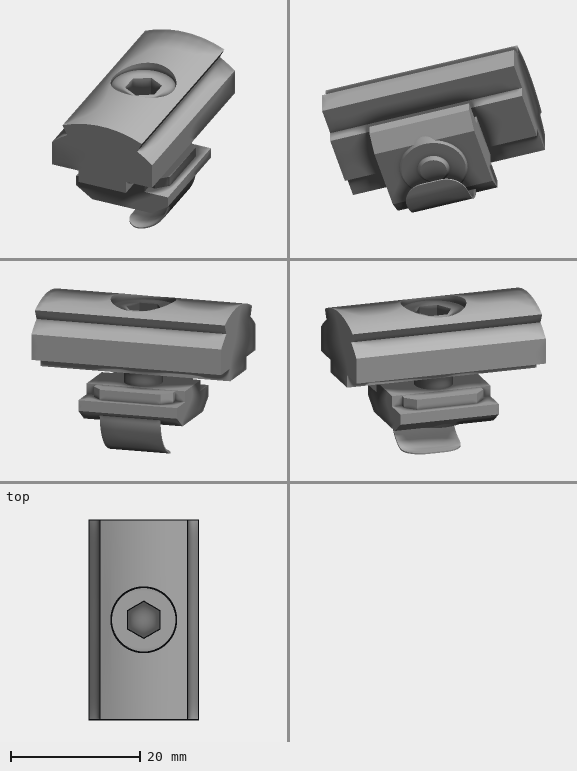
import cadquery as cq
import math

CLAMP_LENGTH = 31.0
CLAMP_WIDTH = 17.0
CLAMP_TOP_Z = 24.18
CROWN_RADIUS = 16.25
DOVETAIL_TOP_HALF = 6.75
NECK_HALF = 5.95
NECK_Z = 21.15
SHOULDER_RADIUS = 14.4
SHOULDER_Z = 19.28
CLAMP_BASE_Z = 15.2
TONGUE_WIDTH = 8.05
TONGUE_BASE_Z = 13.15

HEAD_DIAMETER = 10.0
HEAD_BORE_DIAMETER = 10.2
HEAD_TOP_Z = 22.85
HEAD_HEIGHT = 6.0
SHANK_DIAMETER = 6.0
SHANK_HOLE_DIAMETER = 6.2
TIP_DIAMETER = 5.0
TIP_CHAMFER = 0.43
TIP_Z = 4.77
HEX_ACROSS_FLATS = 5.0
HEX_DEPTH = 4.03

NUT_LENGTH = 16.12
NUT_WIDTH = 15.62
NUT_TOP_Z = 10.9
NUT_CORE_WIDTH = 7.63
FLANGE_TOP_Z = 9.18
FLANGE_EDGE_Z = 7.47
NUT_BASE_Z = 5.6
NUT_BASE_WIDTH = 10.1
COLLAR_BASE_Z = 5.3
COLLAR_BASE_DIAMETER = 10.0
COLLAR_HEIGHT = 1.25

BASE_SPAN = 12.95
BASE_CHAMFER = 1.55
BASE_BOTTOM_Z = FLANGE_EDGE_Z
BAR_TOP_Z = 10.82
LEAF_WIDTH = BASE_SPAN - 2 * BASE_CHAMFER
LEAF_THICKNESS = 0.22
LEAF_INNER_RADIUS = BASE_SPAN / 2
LEAF_OUTER_RADIUS = LEAF_INNER_RADIUS + LEAF_THICKNESS
LEAF_END_LENGTH = 1.4
LEAF_CORNER_RADIUS = 3.4


def cylinder(diameter, bottom, top):
    """Upright cylinder on the screw axis."""
    return cq.Workplane("XY").workplane(offset=bottom).circle(diameter / 2).extrude(top - bottom)


def arc_height(x, radius, centre_z):
    """Height of an arc centred on the mid plane, at distance x from that plane."""
    return centre_z + math.sqrt(radius**2 - x**2)


def make_clamp():
    half_width = CLAMP_WIDTH / 2
    half_tongue = TONGUE_WIDTH / 2
    crown_centre_z = CLAMP_TOP_Z - CROWN_RADIUS
    dovetail_z = arc_height(DOVETAIL_TOP_HALF, CROWN_RADIUS, crown_centre_z)
    block = (
        cq.Workplane("XZ")
        .moveTo(-half_tongue, TONGUE_BASE_Z)
        .lineTo(half_tongue, TONGUE_BASE_Z)
        .lineTo(half_tongue, CLAMP_BASE_Z)
        .lineTo(half_width, CLAMP_BASE_Z)
        .lineTo(half_width, SHOULDER_Z)
        .radiusArc((NECK_HALF, NECK_Z), -SHOULDER_RADIUS)
        .lineTo(DOVETAIL_TOP_HALF, dovetail_z)
        .threePointArc((0, CLAMP_TOP_Z), (-DOVETAIL_TOP_HALF, dovetail_z))
        .lineTo(-NECK_HALF, NECK_Z)
        .radiusArc((-half_width, SHOULDER_Z), -SHOULDER_RADIUS)
        .lineTo(-half_width, CLAMP_BASE_Z)
        .lineTo(-half_tongue, CLAMP_BASE_Z)
        .close()
        .extrude(CLAMP_LENGTH / 2, both=True)
    )
    head_bore = cylinder(HEAD_BORE_DIAMETER, HEAD_TOP_Z - HEAD_HEIGHT, CLAMP_TOP_Z)
    shank_hole = cylinder(SHANK_HOLE_DIAMETER, TONGUE_BASE_Z, CLAMP_TOP_Z)
    return block.cut(head_bore).cut(shank_hole)


def make_screw():
    head_base_z = HEAD_TOP_Z - HEAD_HEIGHT
    head = cylinder(HEAD_DIAMETER, head_base_z, HEAD_TOP_Z)
    shank = cylinder(SHANK_DIAMETER, NUT_TOP_Z, head_base_z)
    tip = cylinder(TIP_DIAMETER, TIP_Z, NUT_TOP_Z).faces("<Z").chamfer(TIP_CHAMFER)
    hex_socket = (
        cq.Workplane("XY")
        .workplane(offset=HEAD_TOP_Z)
        .polygon(6, HEX_ACROSS_FLATS, circumscribed=True)
        .extrude(-HEX_DEPTH)
    )
    return head.union(shank).union(tip).cut(hex_socket)


def make_nut_body():
    half_width = NUT_WIDTH / 2
    half_core = NUT_CORE_WIDTH / 2
    half_base = NUT_BASE_WIDTH / 2
    return (
        cq.Workplane("XZ")
        .moveTo(-half_base, NUT_BASE_Z)
        .lineTo(half_base, NUT_BASE_Z)
        .lineTo(half_width, FLANGE_EDGE_Z)
        .lineTo(half_width, FLANGE_TOP_Z)
        .lineTo(half_core, FLANGE_TOP_Z)
        .lineTo(half_core, NUT_TOP_Z)
        .lineTo(-half_core, NUT_TOP_Z)
        .lineTo(-half_core, FLANGE_TOP_Z)
        .lineTo(-half_width, FLANGE_TOP_Z)
        .lineTo(-half_width, FLANGE_EDGE_Z)
        .close()
        .extrude(NUT_LENGTH / 2, both=True)
    )


def make_nut():
    collar_radius = COLLAR_BASE_DIAMETER / 2
    collar = (
        cq.Workplane("XY")
        .add(cq.Solid.makeCone(collar_radius, collar_radius + COLLAR_HEIGHT, COLLAR_HEIGHT))
        .translate((0, 0, COLLAR_BASE_Z))
    )
    tip_hole = cylinder(TIP_DIAMETER, COLLAR_BASE_Z, NUT_TOP_Z)
    return make_nut_body().union(collar).cut(tip_hole)


def make_leaf():
    centre_z = LEAF_OUTER_RADIUS
    diagonal = math.sqrt(0.5)
    inner_mid = LEAF_INNER_RADIUS * diagonal
    outer_mid = LEAF_OUTER_RADIUS * diagonal
    strip = (
        cq.Workplane("XZ")
        .moveTo(LEAF_INNER_RADIUS, BAR_TOP_Z)
        .lineTo(LEAF_INNER_RADIUS, centre_z)
        .threePointArc((inner_mid, centre_z - inner_mid), (0, LEAF_THICKNESS))
        .lineTo(-LEAF_END_LENGTH, LEAF_THICKNESS)
        .lineTo(-LEAF_END_LENGTH, 0)
        .lineTo(0, 0)
        .threePointArc((outer_mid, centre_z - outer_mid), (LEAF_OUTER_RADIUS, centre_z))
        .lineTo(LEAF_OUTER_RADIUS, BAR_TOP_Z)
        .close()
        .extrude(LEAF_WIDTH / 2, both=True)
    )
    plan_length = LEAF_OUTER_RADIUS + LEAF_END_LENGTH
    rounded_plan = (
        cq.Workplane("XY")
        .center(plan_length / 2 - LEAF_END_LENGTH, 0)
        .rect(plan_length, LEAF_WIDTH)
        .extrude(BAR_TOP_Z)
        .edges("|Z and <X")
        .fillet(LEAF_CORNER_RADIUS)
    )
    return strip.intersect(rounded_plan)


def make_clip():
    octagon = (
        cq.Workplane("XY")
        .workplane(offset=BASE_BOTTOM_Z)
        .rect(BASE_SPAN, BASE_SPAN)
        .extrude(BAR_TOP_Z - BASE_BOTTOM_Z)
        .edges("|Z")
        .chamfer(BASE_CHAMFER)
    )
    core_channel = (
        cq.Workplane("XY")
        .workplane(offset=FLANGE_TOP_Z)
        .rect(NUT_CORE_WIDTH, NUT_LENGTH)
        .extrude(NUT_TOP_Z - FLANGE_TOP_Z)
    )
    tip_hole = cylinder(TIP_DIAMETER, BASE_BOTTOM_Z, BAR_TOP_Z)
    return octagon.cut(core_channel).cut(tip_hole).union(make_leaf(), clean=False)


clamp = make_clamp()
screw = make_screw()
clip = make_clip()
nut = make_nut().cut(clip)

result = cq.Compound.makeCompound([clamp.val(), screw.val(), nut.val(), clip.val()])